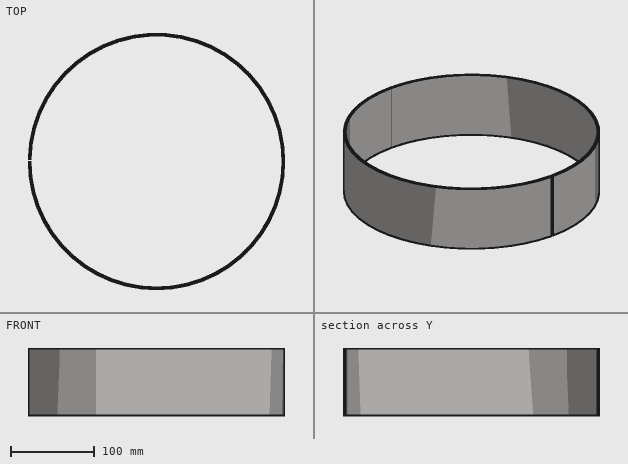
import cadquery as cq
import math

outer_diameter = 305.0
wall_thickness = 2.5
height = 80.0
outer_chamfer = 0.5
inner_chamfer = 0.2
slit_angle = 1.0

outer_radius = outer_diameter / 2
inner_radius = outer_radius - wall_thickness


def make_ring():
    """Thin-walled ring standing on the XY plane, with both rims chamfered outside and inside."""
    wall_section = [
        (outer_radius - outer_chamfer, 0),
        (outer_radius, outer_chamfer),
        (outer_radius, height - outer_chamfer),
        (outer_radius - outer_chamfer, height),
        (inner_radius + inner_chamfer, height),
        (inner_radius, height - inner_chamfer),
        (inner_radius, inner_chamfer),
        (inner_radius + inner_chamfer, 0),
    ]
    axis_start = (0, 0, 0)
    axis_end = (0, 1, 0)
    return cq.Workplane("XZ").polyline(wall_section).close().revolve(360, axis_start, axis_end)


def make_slit_cutter():
    """Full-height wedge with its apex on the ring axis, opening the wall at -X on the Y > 0 side."""
    reach = outer_radius + wall_thickness
    far_edge_y = reach * math.tan(math.radians(slit_angle))
    wedge_points = [(0, 0), (-reach, 0), (-reach, far_edge_y)]
    return cq.Workplane("XY").polyline(wedge_points).close().extrude(height)


result = make_ring().cut(make_slit_cutter())